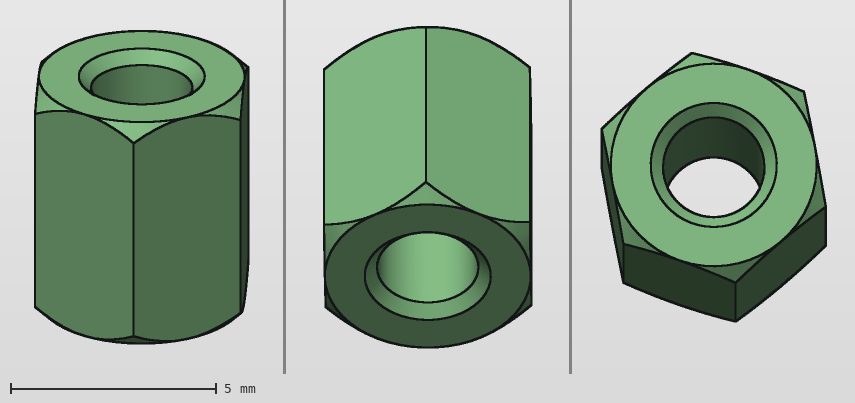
import cadquery as cq
import math

across_flats = 5.0
side_count = 6
height = 6.0
bore_diameter = 2.46
countersink_diameter = 3.06
countersink_angle = 90.0
corner_chamfer_angle = 45.0

across_corners = across_flats / math.cos(math.pi / side_count)
bore_radius = bore_diameter / 2
countersink_radius = countersink_diameter / 2
countersink_depth = (countersink_radius - bore_radius) / math.tan(math.radians(countersink_angle / 2))
end_face_radius = across_flats / 2
corner_radius = across_corners / 2
chamfer_drop = (corner_radius - end_face_radius) * math.tan(math.radians(corner_chamfer_angle))


def revolve_about_z(profile_points):
    """Full revolution about Z of a closed (radius, height) profile."""
    profile = cq.Workplane("XZ").polyline(profile_points).close()
    return profile.revolve(360, (0, 0, 0), (0, 1, 0))


def hexagonal_bar():
    """Hexagonal prism with two corners on the X axis, standing on Z = 0."""
    return cq.Workplane("XY").polygon(side_count, across_corners).extrude(height)


def chamfer_envelope():
    """Cylinder with coned ends that trims the hexagon corners at both ends."""
    return revolve_about_z([
        (0, 0),
        (end_face_radius, 0),
        (corner_radius, chamfer_drop),
        (corner_radius, height - chamfer_drop),
        (end_face_radius, height),
        (0, height),
    ])


def countersunk_bore():
    """Through bore with a conical countersink at each end."""
    return revolve_about_z([
        (0, 0),
        (countersink_radius, 0),
        (bore_radius, countersink_depth),
        (bore_radius, height - countersink_depth),
        (countersink_radius, height),
        (0, height),
    ])


result = hexagonal_bar().intersect(chamfer_envelope()).cut(countersunk_bore())